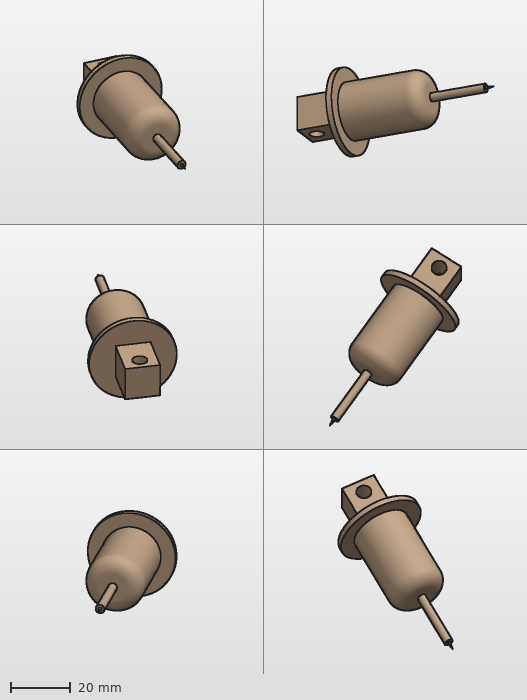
import cadquery as cq

total_length = 70.0
block_length = 15.0
block_side = 12.0
hole_diameter = 5.05
hole_from_end = 4.5
flange_diameter = 30.0
flange_thickness = 2.0
body_diameter = 20.0
body_length = 29.95
body_edge_radius = 5.0
rod_diameter = 3.0
rod_length = 20.0
tip_base_diameter = 1.05

flange_start = block_length
body_start = flange_start + flange_thickness
rod_start = body_start + body_length
tip_start = rod_start + rod_length


def cylinder(start, length, diameter):
    """Solid cylinder on the X axis."""
    return cq.Workplane("YZ", origin=(start, 0, 0)).circle(diameter / 2).extrude(length)


block = cq.Workplane("YZ").rect(block_side, block_side).extrude(block_length)
cross_hole = (
    cq.Workplane("XY")
    .center(hole_from_end, 0)
    .circle(hole_diameter / 2)
    .extrude(block_side, both=True)
)
block = block.cut(cross_hole)

flange = cylinder(flange_start, flange_thickness, flange_diameter)
body = cylinder(body_start, body_length, body_diameter)
body = body.faces(">X").edges().fillet(body_edge_radius)

rod = cylinder(rod_start, rod_length, rod_diameter)
tip = (
    cq.Workplane("XZ")
    .moveTo(tip_start, 0)
    .lineTo(total_length, 0)
    .lineTo(tip_start, tip_base_diameter / 2)
    .close()
    .revolve(360, (0, 0, 0), (1, 0, 0))
)

result = block.union(flange).union(body).union(rod).union(tip)